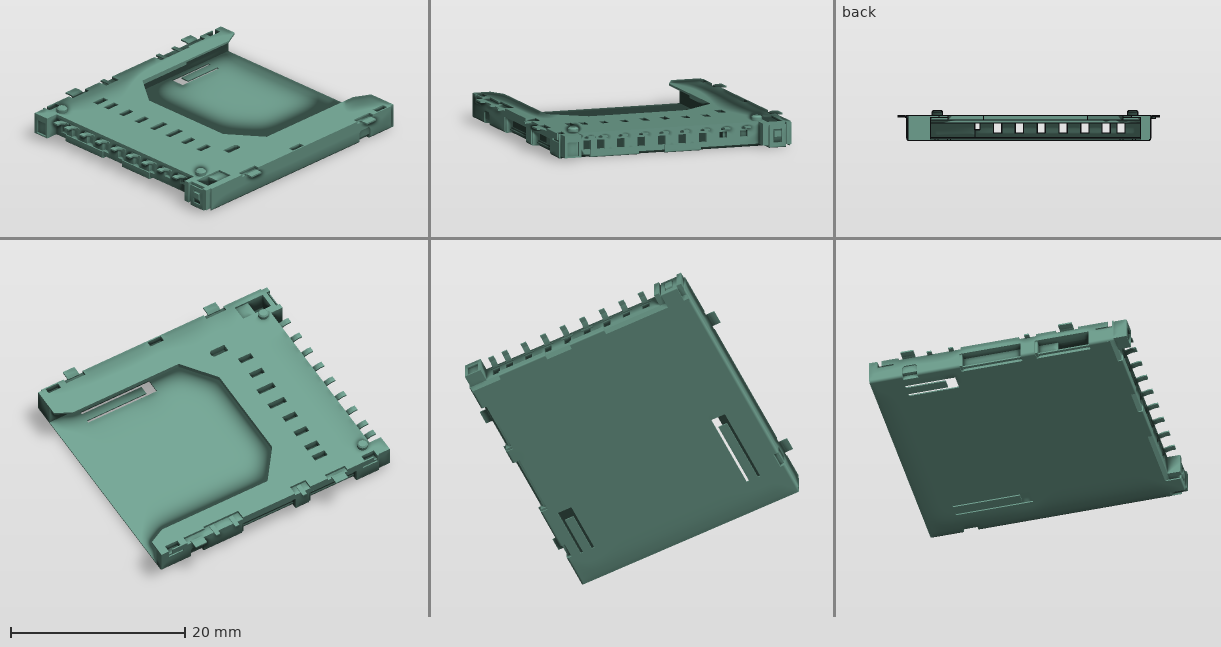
import cadquery as cq


def block(x_range, y_range, z_range):
    """Axis-aligned box given by its low and high limits."""
    size = [high - low for low, high in (x_range, y_range, z_range)]
    corner = (x_range[0], y_range[0], z_range[0])
    return cq.Workplane("XY").box(*size, centered=False).translate(corner)


def side_span(side, inner, outer):
    """X range between two distances from the middle plane, on the side -1 or +1."""
    return tuple(sorted((side * inner, side * outer)))


rear_y = 15.25
front_y = -15.25
half_width = 14.0
tab_half_span = 15.0
top_z = 2.9
peg_top_z = 3.45
sheet = 0.15
bend_radius = 0.3

housing_half_width = half_width - sheet
housing_bottom_z = 0.35

card_center_x = -0.75
card_half_width = 12.05
card_left_x = card_center_x - card_half_width
card_right_x = card_center_x + card_half_width
mouth_roof_bottom_z = 2.65
mouth_roof_front_y = 6.4
roof_bottom_z = 2.35
contact_roof_bottom_z = 1.98
contact_roof_rear_y = -4.27
wall_front_y = -13.72
wall_inner_y = -13.27
key_rear_y = -6.92
key_left_x = 6.2

contact_pitch = 2.5
first_contact_x = -6.45
contact_xs = [-10.58, -8.88] + [first_contact_x + i * contact_pitch for i in range(7)]

left_block_right_x = -11.83
right_block_left_x = 10.37

shell_wall_rear_y = {-1: rear_y, 1: 14.75}
shell_wall_front_y = {-1: wall_front_y, 1: -14.52}
side_windows = [(-2.68, 4.55), (-10.77, -4.4)]
window_top_z = 1.9
window_floor_edge = 13.05
front_flaps = [(-10.22, -4.27), (-1.13, 3.25)]
front_flap_outer_y = wall_front_y - sheet
front_flap_top_z = 0.88
corner_flap_x = (11.2, 13.25)
corner_flap_outer_y = -15.13
corner_flap_top_z = 2.65
corner_flap_hole_x = (11.68, 12.72)
corner_flap_hole_z = (0.58, 2.17)
tab_spans = [(9.75, 11.3), (-9.03, -7.4)]
tab_bottom_z = 2.68
tab_top_z = 2.87
tab_bend = 14.25
tab_rise = 0.12
tab_relief_y = (9.58, 11.35)
tab_relief_top_z = 1.52
tab_relief_chamfer = 0.25
tab_relief_inner = 13.35
tab_relief_step_z = 0.55


def front_flap(x_range, outer_y, height):
    """Strip of the floor folded up in front of the housing."""
    outer = block(x_range, (outer_y, wall_inner_y), (0, height))
    outer = outer.faces("<Y").edges("<Z").fillet(sheet)
    return outer.cut(block(x_range, (outer_y + sheet, wall_inner_y), (sheet, height)))


def shell():
    body = block((-half_width, half_width), (shell_wall_front_y[1], rear_y), (0, top_z))
    body = body.edges("|Y and <Z").fillet(bend_radius)
    inner = (-housing_half_width, housing_half_width)
    body = body.cut(block(inner, (front_y, rear_y), (sheet, top_z)))
    body = body.cut(block(inner, (front_y, wall_inner_y), (0, top_z)))
    for side in (-1, 1):
        strip = side_span(side, housing_half_width, half_width)
        if shell_wall_rear_y[side] < rear_y:
            body = body.cut(block(strip, (shell_wall_rear_y[side], rear_y), (0, top_z)))
        body = body.cut(block(strip, (front_y, shell_wall_front_y[side]), (0, top_z)))
    left_wall = (-half_width, -housing_half_width)
    left_floor_edge = (-half_width, -window_floor_edge)
    for span in side_windows:
        body = body.cut(block(left_wall, span, (0, window_top_z)))
        body = body.cut(block(left_floor_edge, span, (0, housing_bottom_z)))
    for side in (-1, 1):
        relief = block(side_span(side, housing_half_width, half_width), tab_relief_y, (0, tab_relief_top_z))
        body = body.cut(relief.edges("|X and >Z").chamfer(tab_relief_chamfer))
        body = body.cut(block(side_span(side, tab_relief_inner, half_width), tab_relief_y, (0, sheet)))
    for x_range in front_flaps:
        body = body.union(front_flap(x_range, front_flap_outer_y, front_flap_top_z))
    return body.union(front_flap(corner_flap_x, corner_flap_outer_y, corner_flap_top_z))


finger_rear_y = 11.45
finger_tip_gap = 1.22
finger_slot_width = 0.35
finger_cuts = [((9.0, 10.77), 2.3), ((-12.25, -10.5), 5.5)]


def finger_slots():
    """U-shaped openings that leave a finger joined at its rear end."""
    cuts = cq.Workplane("XY")
    for (left_x, right_x), front_end_y in finger_cuts:
        opening = block((left_x, right_x), (front_end_y, finger_rear_y), (0, sheet))
        finger_x = (left_x + finger_slot_width, right_x - finger_slot_width)
        finger = block(finger_x, (front_end_y + finger_tip_gap, finger_rear_y), (0, sheet))
        cuts = cuts.add(opening.cut(finger))
    return cuts.combine()


recess_half_widths = (11.05, 10.03, 5.98)
recess_ys = (rear_y, 13.3, -0.75, -3.78)
wedge_inner_y = -12.95
left_window_back = 13.02
left_ledge_edge = 13.2
left_ledge_z = 0.67
left_step_edge = 13.4
left_step_z = 0.5
left_window_inset = 0.27


def card_space():
    """Cavity open at the rear; its roof steps down toward the contacts and one corner is filled."""
    card_x = (card_left_x, card_right_x)
    cavity = block(card_x, (wall_inner_y, rear_y), (0, roof_bottom_z))
    cavity = cavity.union(block(card_x, (mouth_roof_front_y, rear_y), (0, mouth_roof_bottom_z)))
    cavity = cavity.cut(block(card_x, (wall_inner_y, contact_roof_rear_y), (contact_roof_bottom_z, top_z)))
    key_front_y = key_rear_y - (card_right_x - key_left_x)
    key = (
        cq.Workplane("XY")
        .polyline([
            (card_right_x, key_rear_y),
            (key_left_x, key_front_y),
            (key_left_x, wall_inner_y),
            (card_right_x, wall_inner_y),
        ])
        .close()
        .extrude(top_z)
    )
    return cavity.cut(key)


def roof_recess():
    """Opening in the roof that lets the card be seen from above."""
    mouth, middle, end = recess_half_widths
    right = list(zip((mouth, middle, middle, end), recess_ys))
    left = [(-x, y) for x, y in reversed(right)]
    return (
        cq.Workplane("XY", origin=(card_center_x, 0, sheet))
        .polyline(right + left)
        .close()
        .extrude(top_z)
    )


def left_window(low_y, high_y):
    """Recess with a stepped foot; it opens into the card space only in front of the key."""
    levels = [
        (left_window_back, left_ledge_z, window_top_z),
        (left_ledge_edge, left_step_z, left_ledge_z),
        (left_step_edge, housing_bottom_z, left_step_z),
        (window_floor_edge, 0, housing_bottom_z),
    ]
    cuts = cq.Workplane("XY")
    for depth_x, bottom_z, level_top_z in levels:
        cuts = cuts.add(block((-half_width, -depth_x), (low_y, high_y), (bottom_z, level_top_z)))
    if low_y < key_rear_y:
        cuts = cuts.add(block((-half_width, card_left_x), (low_y, key_rear_y), (left_ledge_z, window_top_z)))
    return cuts.combine()


def housing():
    width = (-housing_half_width, housing_half_width)
    height = (housing_bottom_z, top_z)
    body = block(width, (wall_front_y, rear_y), height)
    body = body.union(block((-housing_half_width, left_block_right_x), (front_y, wall_front_y), height))
    body = body.union(block((right_block_left_x, housing_half_width), (front_y, wall_front_y), height))
    for x_range in ((-housing_half_width, card_left_x), (card_right_x, housing_half_width)):
        body = body.union(block(x_range, (wall_inner_y, rear_y), (sheet, housing_bottom_z)))
    wedge = (
        cq.Workplane("YZ", origin=(-housing_half_width, 0, 0))
        .polyline([
            (wall_front_y, housing_bottom_z),
            (wall_inner_y, 0),
            (wedge_inner_y, 0),
            (wedge_inner_y, housing_bottom_z),
        ])
        .close()
        .extrude(2 * housing_half_width)
    )
    body = body.cut(card_space()).cut(roof_recess()).union(wedge)
    for low_y, high_y in side_windows:
        body = body.cut(left_window(low_y, high_y - left_window_inset))
    for side in (-1, 1):
        foot = side_span(side, tab_relief_inner, half_width)
        body = body.cut(block(foot, tab_relief_y, (0, tab_relief_step_z)))
    return body


roof_hole_width = 0.8
roof_hole_front_y = -8.65
roof_hole_rear_y = -6.98
long_roof_hole_rear_y = -6.5
long_hole_contacts = (4, 5)
last_hole_width = 0.95
last_hole_y = (-6.68, -4.65)
last_hole_chamfer = 0.25

front_hole_width = 0.9
front_hole_z = (0.88, contact_roof_bottom_z)
short_front_hole_bottom_z = 1.25
short_hole_contacts = (7, 8)


def contact_openings():
    cuts = cq.Workplane("XY")
    last = len(contact_xs) - 1
    for index, x in enumerate(contact_xs):
        bottom = short_front_hole_bottom_z if index in short_hole_contacts else front_hole_z[0]
        half = front_hole_width / 2
        window = block((x - half, x + half), (wall_front_y, wall_inner_y), (bottom, front_hole_z[1]))
        if index == last:
            half = last_hole_width / 2
            hole = block((x - half, x + half), last_hole_y, (contact_roof_bottom_z, top_z))
            hole = hole.edges("|Z and >Y").chamfer(last_hole_chamfer)
        else:
            half = roof_hole_width / 2
            rear = long_roof_hole_rear_y if index in long_hole_contacts else roof_hole_rear_y
            hole = block((x - half, x + half), (roof_hole_front_y, rear), (contact_roof_bottom_z, top_z))
        cuts = cuts.add(window).add(hole)
    return cuts.combine()


shallow_pocket_z = 2.6
shallow_pockets = [
    (-1, (9.03, 11.8), 13.1),
    (-1, (4.4, 9.03), 12.87),
    (-1, (-4.58, -2.53), 12.87),
    (-1, (-9.52, -6.9), 13.35),
    (1, (9.25, 11.8), 13.35),
    (1, (-9.52, -6.9), 13.35),
]
deep_pocket_z = 2.15
deep_pocket_inner = 13.1
deep_pockets = [
    (-1, (12.63, 14.27)),
    (-1, (-13.55, -11.9)),
    (1, (12.63, 14.27)),
    (1, (-1.07, 0.7)),
]
latch_slits = [(14.27, -1), (-13.55, 1)]
slit_upright_width = 0.5
slit_length = 1.92
slit_bottom_z = 1.9


def side_pockets():
    cuts = cq.Workplane("XY")
    for side, y_range, inner in shallow_pockets:
        cuts = cuts.add(block(side_span(side, inner, half_width), y_range, (shallow_pocket_z, top_z)))
    for side, y_range in deep_pockets:
        x_range = side_span(side, deep_pocket_inner, housing_half_width)
        cuts = cuts.add(block(x_range, y_range, (deep_pocket_z, top_z)))
    wall = (-half_width, -housing_half_width)
    for start_y, direction in latch_slits:
        upright = tuple(sorted((start_y, start_y + direction * slit_upright_width)))
        long_leg = tuple(sorted((start_y, start_y + direction * slit_length)))
        cuts = cuts.add(block(wall, upright, (slit_bottom_z, top_z)))
        cuts = cuts.add(block(wall, long_leg, (slit_bottom_z, deep_pocket_z)))
    return cuts.combine()


latch_window_x = (11.25, 13.15)
latch_window_y = (-14.25, -12.25, -10.52)
latch_shelf_z = 2.65
latch_pit_z = 0.6
flap_pocket_x = (11.0, 13.25)
flap_pocket_rear_y = -14.8
left_panel_x = (-13.5, -12.15)
left_panel_z = (0.5, 2.15)
left_panel_depth = 0.25


def corner_cuts():
    front, middle, rear = latch_window_y
    cuts = block(latch_window_x, (front, middle), (latch_pit_z, top_z))
    cuts = cuts.union(block(latch_window_x, (middle, rear), (latch_shelf_z, top_z)))
    cuts = cuts.union(block(flap_pocket_x, (front_y, flap_pocket_rear_y), (0, top_z)))
    return cuts.union(block(left_panel_x, (front_y, front_y + left_panel_depth), left_panel_z))


latch_nose_tip_z = 1.28
latch_nose_top_z = 1.95
latch_nose_inset = 0.1


def latch_nose():
    """Latch end standing in the hole of the corner flap, sloped on its underside."""
    low_x = corner_flap_hole_x[0] + latch_nose_inset
    high_x = corner_flap_hole_x[1] - latch_nose_inset
    return (
        cq.Workplane("YZ", origin=(low_x, 0, 0))
        .polyline([
            (flap_pocket_rear_y, corner_flap_hole_z[0]),
            (front_y, latch_nose_tip_z),
            (front_y, latch_nose_top_z),
            (flap_pocket_rear_y, latch_nose_top_z),
        ])
        .close()
        .extrude(high_x - low_x)
    )


lead_width = 0.67
lead_sheet = 0.18
lead_tip_y = -15.13
lead_foot_rear_y = -14.6
lead_root_z = 2.23
lead_foot_z = 2.47
shoulder_width = 1.45
shoulder_proud = 0.1
deep_shoulder_z = 2.0
side_lead_ys = (8.02, 5.45, -3.55)
side_lead_width = 0.55
side_lead_tip = 14.55
side_lead_root = 12.95
side_lead_z = (2.5, 2.68)
peg_centers = [(-11.93, -12.75), (10.5, -12.75)]
peg_radius = 0.6
peg_chamfer = 0.15


def contact_lead(x, shoulder_bottom_z):
    """Lead that rises from its shoulder in the front wall to a level solder foot."""
    lower = [
        (wall_inner_y, lead_root_z),
        (wall_front_y - shoulder_proud, lead_root_z),
        (lead_foot_rear_y, lead_foot_z),
        (lead_tip_y, lead_foot_z),
    ]
    upper = [(y, z + lead_sheet) for y, z in reversed(lower)]
    lead = (
        cq.Workplane("YZ", origin=(x - lead_width / 2, 0, 0))
        .polyline(lower + upper)
        .close()
        .extrude(lead_width)
    )
    shoulder = block(
        (x - shoulder_width / 2, x + shoulder_width / 2),
        (wall_front_y - shoulder_proud, wall_inner_y),
        (shoulder_bottom_z, lead_root_z + lead_sheet),
    )
    return lead.union(shoulder)


def side_lead(y):
    half = side_lead_width / 2
    return block((-side_lead_tip, -side_lead_root), (y - half, y + half), side_lead_z)


def solder_tab(side, y_range):
    """Strip of the shell wall folded outward near the top."""
    low_y, high_y = y_range
    lower = [
        (side * housing_half_width, tab_bottom_z - tab_rise),
        (side * tab_bend, tab_bottom_z),
        (side * tab_half_span, tab_bottom_z),
    ]
    upper = [(x, z + tab_top_z - tab_bottom_z) for x, z in reversed(lower)]
    return (
        cq.Workplane("XZ", origin=(0, high_y, 0))
        .polyline(lower + upper)
        .close()
        .extrude(high_y - low_y)
    )


def peg(x, y):
    post = cq.Workplane("XY", origin=(x, y, top_z)).circle(peg_radius).extrude(peg_top_z - top_z)
    return post.faces(">Z").chamfer(peg_chamfer)


corner_hole = block(corner_flap_hole_x, (front_y, flap_pocket_rear_y), corner_flap_hole_z)

result = housing().cut(corner_cuts()).union(shell().cut(corner_hole).cut(finger_slots()))
result = result.cut(contact_openings()).cut(side_pockets()).union(latch_nose())
for contact_index, contact_x in enumerate(contact_xs):
    shoulder_z = deep_shoulder_z if contact_index in long_hole_contacts else lead_root_z
    result = result.union(contact_lead(contact_x, shoulder_z))
for lead_y in side_lead_ys:
    result = result.union(side_lead(lead_y))
for tab_side in (-1, 1):
    for tab_span in tab_spans:
        result = result.union(solder_tab(tab_side, tab_span))
for peg_x, peg_y in peg_centers:
    result = result.union(peg(peg_x, peg_y))